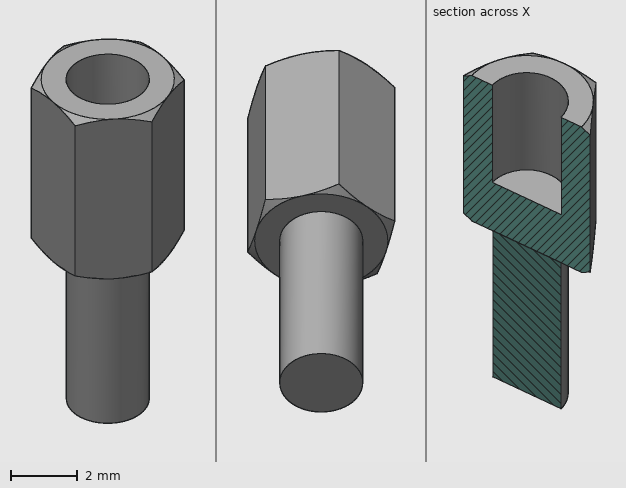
import cadquery as cq
import math

TOTAL_LENGTH = 12.0
HEX_LENGTH = 6.0
ACROSS_FLATS = 4.0
HEX_SIDES = 6
THREAD_DIAMETER = 2.5
BORE_DEPTH = 4.0
CHAMFER_ANGLE = 30.0

HEX_TURN = 180 / HEX_SIDES
STUD_LENGTH = TOTAL_LENGTH - HEX_LENGTH
FLAT_RADIUS = ACROSS_FLATS / 2
CORNER_RADIUS = FLAT_RADIUS / math.cos(math.pi / HEX_SIDES)
CHAMFER_DROP = (CORNER_RADIUS - FLAT_RADIUS) * math.tan(math.radians(CHAMFER_ANGLE))


def chamfer_envelope():
    """Round bar with conical ends; its end faces touch the hexagon flats."""
    half_profile = [
        (0, 0),
        (FLAT_RADIUS, 0),
        (CORNER_RADIUS, CHAMFER_DROP),
        (CORNER_RADIUS, HEX_LENGTH - CHAMFER_DROP),
        (FLAT_RADIUS, HEX_LENGTH),
        (0, HEX_LENGTH),
    ]
    return cq.Workplane("XZ").polyline(half_profile).close().revolve(360, (0, 0), (0, 1))


def make_hex_body():
    """Hexagonal spacer, corners chamfered at both ends, with a blind bore from the top."""
    hexagon = (
        cq.Workplane("XY")
        .polygon(HEX_SIDES, 2 * CORNER_RADIUS)
        .extrude(HEX_LENGTH)
        .rotate((0, 0, 0), (0, 0, 1), HEX_TURN)
    )
    body = hexagon.intersect(chamfer_envelope())
    return body.faces(">Z").workplane().hole(THREAD_DIAMETER, BORE_DEPTH).solids()


def make_stud():
    """Plain round stud hanging from the lower face of the hexagonal body."""
    return cq.Workplane("XY").circle(THREAD_DIAMETER / 2).extrude(-STUD_LENGTH)


hex_body = make_hex_body()
stud = make_stud()

result = cq.Compound.makeCompound([hex_body.val(), stud.val()])